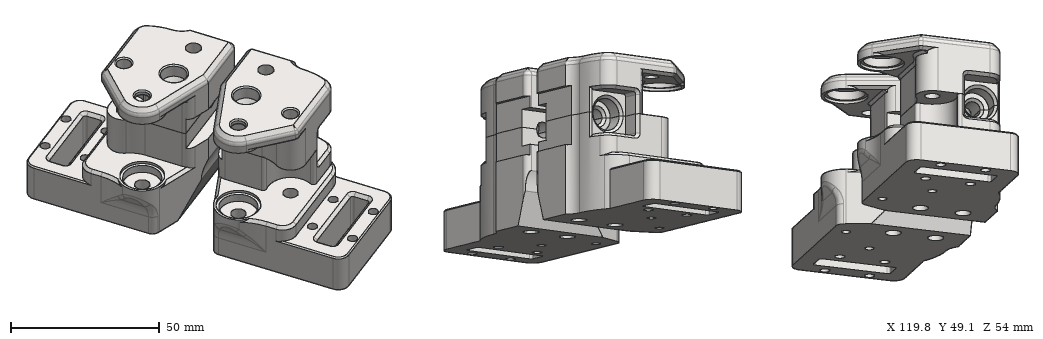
import cadquery as cq
import math


PLATE_TOP = 13.8
BLOCK_TOP = 19.5
SPLIT_Z = 33.9
CAP_UNDERSIDE = 48.3
CAP_TOP = 54.0

PLATE_LEFT = -59.9
BLOCK_LEFT = -39.7
STEM_LEFT = -36.8
INNER_X = -2.3
BACK_Y = 24.5
PLATE_BACK = 18.6
FRONT_Y = -21.5
STEM_FRONT = -5.9
SLANT_TOP_Y = 2.5
SHOULDER_X = -19.6
CREST_X = -24.4
CREST_Y = 22.2
BACK_ARC_RADIUS = 24.0
SHOULDER_RADIUS = 6.0
PLATE_CORNER_RADIUS = 4.0
CORNER_RADIUS = 5.0
BLOCK_BACK_RADIUS = 8.0
INNER_CORNER_RADIUS = 2.0
STEM_CORNER_RADIUS = 4.0

NOSE_X = -18.0
NOSE_RADIUS = 8.4
NOSE_Y = NOSE_RADIUS - BACK_Y
NOSE_BLEND_RADIUS = 20.0
NOSE_MARGIN = 0.02
STEP_DEPTH = 0.8
COUNTERBORE_DEPTH = 3.3

BOSS_X = -31.1
BOSS_Y = -3.0
BOSS_RADIUS = BOSS_X - STEM_LEFT
BOSS_BLEND_RADIUS = 11.4
CLEARANCE_RADIUS = 8.4
CLEARANCE_EDGE_RADIUS = 1.2

SCREW_DIAMETER = 5.2
PILOT_DIAMETER = 3.0
PILOT_DEPTH = 4.0
SCREW_CHAMFER = 0.5

ROD_DIAMETER = 5.4
ROD_X = -13.5
REAR_ROD_Y = 14.4
FRONT_ROD_Y = -0.8
ROD_RECESS_DIAMETER = 9.0
ROD_RECESS_DEPTH = 4.8
ROD_RECESS_CHAMFER = 0.5

BOLT_HEAD_DIAMETER = 10.9
BOLT_HEAD_DEPTH = 6.0
BOLT_CHAMFER = 1.0
POCKET_FLOOR_X = -30.0
POCKET_FRONT_Y = 7.0
POCKET_HALF_HEIGHT = 7.5
POCKET_CORNER_RADIUS = 1.0
POCKET_FLOOR_CHAMFER = 0.6

INNER_NOTCH_X = -6.7
INNER_NOTCH_BOTTOM = 27.4
INNER_NOTCH_TOP = 40.0
BACK_NOTCH_Y = 23.1
BACK_NOTCH_HALF_HEIGHT = 10.1

SLOT_X = -50.0
SLOT_WIDTH = 6.8
SLOT_LENGTH = 27.5
SLOT_CORNER_RADIUS = 1.0
SLOT_CHAMFER = 1.2
PLATE_HOLE_DIAMETER = 3.4
PLATE_HOLE_PITCH_X = 15.0
PLATE_HOLE_PITCH_Y = 16.0

SCOOP_BOTTOM = 7.2
SCOOP_ANGLE = 26.0
SCOOP_BLEND = 2.5
FOOT_RADIUS = 3.0

RELIEF_BOTTOM_X = -7.2
RELIEF_KNEE_Z = 14.9
RELIEF_BLEND = 3.6

PLATE_CHAMFER = 0.5
EDGE_CHAMFER = 1.1
STEM_CHAMFER = 1.0
FLARE_TAPER = -45.0
STEM_OVERLAP = 0.4
CAP_CHAMFER = 2.0
CAP_EDGE_RADIUS = 2.0

EXCESS = 12.0


def near(x, y, z):
    return cq.selectors.NearestToPointSelector((x, y, z))


def box(x_range, y_range, z_range):
    """Box between the given limits."""
    size = [high - low for low, high in (x_range, y_range, z_range)]
    return cq.Workplane().box(*size, centered=False).translate((x_range[0], y_range[0], z_range[0]))


def cylinder(x, y, diameter, bottom, top):
    """Upright cylinder."""
    return cq.Workplane(origin=(x, y, bottom)).circle(diameter / 2).extrude(top - bottom)


def cone(x, y, bottom_diameter, bottom, top_diameter, top):
    """Upright frustum."""
    rise = top - bottom
    solid = cq.Solid.makeCone(bottom_diameter / 2, top_diameter / 2, rise, cq.Vector(x, y, bottom))
    return cq.Workplane(obj=solid)


def slant_direction():
    """Angle of the slanted face, which is tangent to the nose."""
    run = INNER_X - NOSE_X
    rise = SLANT_TOP_Y - NOSE_Y
    return math.atan2(rise, run) + math.asin(NOSE_RADIUS / math.hypot(run, rise))


SLANT = slant_direction()
SLANT_END = (NOSE_X + NOSE_RADIUS * math.sin(SLANT), NOSE_Y - NOSE_RADIUS * math.cos(SLANT))
NOSE_TIP = (NOSE_X, NOSE_Y - NOSE_RADIUS)


def slant_x(y):
    """X on the slanted face at the given Y."""
    return INNER_X - (SLANT_TOP_Y - y) / math.tan(SLANT)


def back_arc_y(x):
    """Y on the big back arc at the given X."""
    return CREST_Y - BACK_ARC_RADIUS + math.sqrt(BACK_ARC_RADIUS**2 - (x - CREST_X) ** 2)


def shoulder_y(x):
    """Y on the hollow that joins the big back arc to the straight back edge."""
    return CREST_Y + SHOULDER_RADIUS - math.sqrt(SHOULDER_RADIUS**2 - (x - CREST_X) ** 2)


def back_outline(z, left):
    """Open outline from the top of the slanted face round the back to the left side."""
    shoulder_mid = (SHOULDER_X + CREST_X) / 2
    arc_mid = (CREST_X + left) / 2
    return (
        cq.Workplane(origin=(0, 0, z))
        .moveTo(INNER_X, SLANT_TOP_Y)
        .lineTo(INNER_X, BACK_Y)
        .lineTo(SHOULDER_X, shoulder_y(SHOULDER_X))
        .threePointArc((shoulder_mid, shoulder_y(shoulder_mid)), (CREST_X, CREST_Y))
        .threePointArc((arc_mid, back_arc_y(arc_mid)), (left, back_arc_y(left)))
    )


def round_upright(body, x, y, z, radius):
    """Round the upright edge nearest to the given point."""
    return body.edges("|Z").edges(near(x, y, z)).fillet(radius)


def boss(bottom, top):
    """Screw boss with its concave blend into the front of the stem."""
    drop = STEM_FRONT - BOSS_BLEND_RADIUS - BOSS_Y
    reach = BOSS_RADIUS + BOSS_BLEND_RADIUS
    blend_x = BOSS_X + math.sqrt(reach**2 - drop**2)
    share = BOSS_RADIUS / reach
    tangent = (BOSS_X + (blend_x - BOSS_X) * share, BOSS_Y + drop * share)
    web = (
        cq.Workplane(origin=(0, 0, bottom))
        .moveTo(BOSS_X, BOSS_Y)
        .lineTo(*tangent)
        .radiusArc((blend_x, STEM_FRONT), BOSS_BLEND_RADIUS)
        .lineTo(blend_x, BOSS_Y)
        .close()
        .extrude(top - bottom)
    )
    return web.union(cylinder(BOSS_X, BOSS_Y, 2 * BOSS_RADIUS, bottom, top))


def stem(bottom, top, has_boss):
    """Upright stem, with either the screw boss or a hollow that clears the other part's boss."""
    middle = (bottom + top) / 2
    front_corner_x = slant_x(STEM_FRONT)
    left_end_y = BOSS_Y if has_boss else STEM_FRONT
    body = back_outline(bottom, STEM_LEFT).lineTo(STEM_LEFT, left_end_y)
    if has_boss:
        body = body.lineTo(BOSS_X, BOSS_Y).lineTo(BOSS_X, STEM_FRONT)
    body = body.lineTo(front_corner_x, STEM_FRONT).close().extrude(top - bottom)
    body = round_upright(body, STEM_LEFT, back_arc_y(STEM_LEFT), middle, CORNER_RADIUS)
    body = round_upright(body, INNER_X, BACK_Y, middle, INNER_CORNER_RADIUS)
    body = round_upright(body, front_corner_x, STEM_FRONT, middle, STEM_CORNER_RADIUS)
    if has_boss:
        body = body.union(boss(bottom, top))
    else:
        body = body.cut(cylinder(BOSS_X, BOSS_Y, 2 * CLEARANCE_RADIUS, bottom, top))
        side_y = BOSS_Y + math.sqrt(CLEARANCE_RADIUS**2 - (STEM_LEFT - BOSS_X) ** 2)
        front_x = BOSS_X + math.sqrt(CLEARANCE_RADIUS**2 - (STEM_FRONT - BOSS_Y) ** 2)
        body = round_upright(body, STEM_LEFT, side_y, middle, CLEARANCE_EDGE_RADIUS)
        body = round_upright(body, front_x, STEM_FRONT, middle, CLEARANCE_EDGE_RADIUS)
    return cut_pocket(body, 1 if middle > SPLIT_Z else -1)


def cut_pocket(body, side):
    """Cut one half of the side pocket, above (+1) or below (-1) the joint, and break its edges."""
    pocket = box(
        (STEM_LEFT - EXCESS, POCKET_FLOOR_X),
        (POCKET_FRONT_Y, BACK_Y + EXCESS),
        (SPLIT_Z - POCKET_HALF_HEIGHT, SPLIT_Z + POCKET_HALF_HEIGHT),
    )
    pocket = pocket.edges("|X and <Y").fillet(POCKET_CORNER_RADIUS)
    body = body.cut(pocket)
    rim = near(STEM_LEFT, (POCKET_FRONT_Y + REAR_ROD_Y) / 2, SPLIT_Z + side * POCKET_HALF_HEIGHT)
    body = body.edges(rim).chamfer(EDGE_CHAMFER)
    floor_edge = near(POCKET_FLOOR_X, back_arc_y(POCKET_FLOOR_X), SPLIT_Z + side * POCKET_HALF_HEIGHT / 2)
    return body.edges("|Z").edges(floor_edge).chamfer(POCKET_FLOOR_CHAMFER)


def cross_bolt():
    """Bolt hole along X with its chamfered head recess, opening into the side pocket."""
    radius = ROD_DIAMETER / 2
    head_radius = BOLT_HEAD_DIAMETER / 2
    head_floor = POCKET_FLOOR_X + BOLT_HEAD_DEPTH
    profile = [
        (POCKET_FLOOR_X, 0),
        (POCKET_FLOOR_X, head_radius + BOLT_CHAMFER),
        (POCKET_FLOOR_X + BOLT_CHAMFER, head_radius),
        (head_floor, head_radius),
        (head_floor, radius + BOLT_CHAMFER),
        (head_floor + BOLT_CHAMFER, radius),
        (INNER_X + EXCESS, radius),
        (INNER_X + EXCESS, 0),
    ]
    tool = cq.Workplane().polyline(profile).close().revolve(360, (0, 0, 0), (1, 0, 0))
    return tool.translate((0, REAR_ROD_Y, SPLIT_Z))


def joint_cuts():
    """Notches, rod holes and cross bolt, which pass through base and cap alike."""
    inner_notch = box(
        (INNER_NOTCH_X, INNER_X + EXCESS),
        (-BACK_Y, BACK_Y + EXCESS),
        (INNER_NOTCH_BOTTOM, INNER_NOTCH_TOP),
    )
    back_notch = box(
        (STEM_LEFT, INNER_X + EXCESS),
        (BACK_NOTCH_Y, BACK_Y + EXCESS),
        (SPLIT_Z - BACK_NOTCH_HALF_HEIGHT, SPLIT_Z + BACK_NOTCH_HALF_HEIGHT),
    )
    cuts = inner_notch.union(back_notch).union(cross_bolt())
    for y in (REAR_ROD_Y, FRONT_ROD_Y):
        cuts = cuts.union(cylinder(ROD_X, y, ROD_DIAMETER, -EXCESS, CAP_TOP + EXCESS))
    return cuts


def nose_counterbore(face_z, direction, step_diameter, bore_diameter):
    """Stepped counterbore in the nose, cut from face_z upwards (+1) or downwards (-1)."""
    tool = cq.Workplane(origin=(NOSE_X, NOSE_Y, face_z))
    step = tool.circle(step_diameter / 2).extrude(direction * STEP_DEPTH)
    bore = tool.circle(bore_diameter / 2).extrude(direction * COUNTERBORE_DEPTH)
    return step.union(bore)


def edge_trim(body, face):
    """Material that a chamfer around the chosen face removes, all but the part at the nose."""
    trim = body.cut(body.faces(face).edges().chamfer(EDGE_CHAMFER))
    return trim.cut(cylinder(NOSE_X, NOSE_Y, 2 * (NOSE_RADIUS + NOSE_MARGIN), 0, CAP_TOP))


def block():
    """Raised block with the nose in front, its top edge chamfered except on the nose."""
    drop = FRONT_Y - NOSE_BLEND_RADIUS - NOSE_Y
    reach = NOSE_RADIUS + NOSE_BLEND_RADIUS
    blend_x = NOSE_X - math.sqrt(reach**2 - drop**2)
    share = NOSE_RADIUS / reach
    tangent = (NOSE_X + (blend_x - NOSE_X) * share, NOSE_Y + drop * share)
    body = (
        back_outline(0, BLOCK_LEFT)
        .lineTo(BLOCK_LEFT, FRONT_Y)
        .lineTo(blend_x, FRONT_Y)
        .radiusArc(tangent, NOSE_BLEND_RADIUS)
        .threePointArc(NOSE_TIP, SLANT_END)
        .close()
        .extrude(BLOCK_TOP)
    )
    middle = BLOCK_TOP / 2
    body = round_upright(body, BLOCK_LEFT, FRONT_Y, middle, CORNER_RADIUS)
    body = round_upright(body, BLOCK_LEFT, back_arc_y(BLOCK_LEFT), middle, BLOCK_BACK_RADIUS)
    body = round_upright(body, INNER_X, BACK_Y, middle, INNER_CORNER_RADIUS)
    body = body.cut(edge_trim(body, ">Z"))
    return undercut_nose(body, blend_x)


def scoop(left):
    """Tool that undercuts the nose with a slope and a concave blend."""
    lean = math.radians(SCOOP_ANGLE)
    apex_z = SCOOP_BOTTOM + SCOOP_BLEND
    blend_top = (FRONT_Y - SCOOP_BLEND * math.sin(lean), apex_z + SCOOP_BLEND * math.cos(lean))
    blend_radius = SCOOP_BLEND / math.tan(lean / 2)
    slope_end = (FRONT_Y - EXCESS, apex_z + EXCESS / math.tan(lean))
    return (
        cq.Workplane("YZ", origin=(left, 0, 0))
        .moveTo(FRONT_Y, -EXCESS)
        .lineTo(FRONT_Y, SCOOP_BOTTOM)
        .radiusArc(blend_top, -blend_radius)
        .lineTo(*slope_end)
        .lineTo(FRONT_Y - EXCESS, -EXCESS)
        .close()
        .extrude(-left)
    )


def undercut_nose(body, left):
    """Cut the scoop, then round the foot below it together with the arched edge around it."""
    body = body.cut(scoop(left))
    foot_x = NOSE_X + math.sqrt(NOSE_RADIUS**2 - (FRONT_Y - NOSE_Y) ** 2)
    return round_upright(body, foot_x, FRONT_Y, SCOOP_BOTTOM / 2, FOOT_RADIUS)


def plate():
    """Mounting plate with rounded outer corners and a chamfered top edge."""
    body = box((PLATE_LEFT, BOSS_X), (FRONT_Y, PLATE_BACK), (0, PLATE_TOP))
    body = body.edges("|Z and <X").fillet(PLATE_CORNER_RADIUS)
    outer_edges = body.faces(">Z").edges("not(>X)")
    return outer_edges.chamfer(PLATE_CHAMFER)


def plate_cuts():
    """Slot with a chamfered rim and the four holes around it."""
    centre_y = (FRONT_Y + PLATE_BACK) / 2
    slot = box(
        (SLOT_X - SLOT_WIDTH / 2, SLOT_X + SLOT_WIDTH / 2),
        (centre_y - SLOT_LENGTH / 2, centre_y + SLOT_LENGTH / 2),
        (0, PLATE_TOP),
    )
    slot = slot.edges("|Z").fillet(SLOT_CORNER_RADIUS)
    rim = (
        cq.Workplane(origin=(SLOT_X, centre_y, PLATE_TOP))
        .rect(SLOT_WIDTH + 2 * SLOT_CHAMFER, SLOT_LENGTH + 2 * SLOT_CHAMFER)
        .extrude(-SLOT_CHAMFER)
        .edges("|Z")
        .fillet(SLOT_CORNER_RADIUS + SLOT_CHAMFER)
        .faces("<Z")
        .chamfer(SLOT_CHAMFER * 0.999)
    )
    holes = (
        cq.Workplane(origin=(SLOT_X, centre_y, 0))
        .rarray(PLATE_HOLE_PITCH_X, PLATE_HOLE_PITCH_Y, 2, 2)
        .circle(PLATE_HOLE_DIAMETER / 2)
        .extrude(PLATE_TOP)
    )
    return slot.union(rim).union(holes)


def inner_relief():
    """Tool that slopes back the lower part of the inner face, with a blend at the knee."""
    lean = math.atan2(INNER_X - RELIEF_BOTTOM_X, RELIEF_KNEE_Z)
    blend_start = (INNER_X - RELIEF_BLEND * math.sin(lean), RELIEF_KNEE_Z - RELIEF_BLEND * math.cos(lean))
    blend_end = (INNER_X, RELIEF_KNEE_Z + RELIEF_BLEND)
    return (
        cq.Workplane("XZ", origin=(0, BACK_Y + EXCESS, 0))
        .moveTo(RELIEF_BOTTOM_X, 0)
        .lineTo(*blend_start)
        .radiusArc(blend_end, RELIEF_BLEND / math.tan(lean / 2))
        .lineTo(INNER_X + EXCESS, RELIEF_KNEE_Z + RELIEF_BLEND)
        .lineTo(INNER_X + EXCESS, 0)
        .close()
        .extrude(2 * (BACK_Y + EXCESS))
    )


def base(has_boss):
    body = block().union(plate()).union(stem(BLOCK_TOP - 2 * EDGE_CHAMFER, SPLIT_Z, has_boss))
    body = body.cut(plate_cuts()).cut(inner_relief()).cut(joint_cuts())
    body = body.cut(nose_counterbore(BLOCK_TOP, -1.2, 15.1, 13.2))
    for x, y in ((NOSE_X, NOSE_Y), (BOSS_X, BOSS_Y)):
        body = body.cut(cylinder(x, y, PILOT_DIAMETER, 0, SPLIT_Z))
        body = body.cut(cylinder(x, y, SCREW_DIAMETER, PILOT_DEPTH, SPLIT_Z))
    return body


def cap_plate():
    """Overhanging plate with a chamfered and rounded top edge and a chamfered lower edge."""
    flank = NOSE_RADIUS * math.sqrt(0.5)
    flank_end = (NOSE_X - flank, NOSE_Y - flank)
    flank_start_y = flank_end[1] - (STEM_LEFT - flank_end[0])
    body = (
        back_outline(CAP_UNDERSIDE, STEM_LEFT)
        .lineTo(STEM_LEFT, flank_start_y)
        .lineTo(*flank_end)
        .threePointArc(NOSE_TIP, SLANT_END)
        .close()
        .extrude(CAP_TOP - CAP_UNDERSIDE)
    )
    body = round_upright(body, STEM_LEFT, back_arc_y(STEM_LEFT), CAP_TOP, CORNER_RADIUS)
    body = round_upright(body, STEM_LEFT, flank_start_y, CAP_TOP, INNER_CORNER_RADIUS)
    body = round_upright(body, INNER_X, BACK_Y, CAP_TOP, INNER_CORNER_RADIUS)
    body = body.cut(edge_trim(body, "<Z"))
    body = body.faces(">Z").edges().chamfer(CAP_CHAMFER)
    shoulder_edges = cq.selectors.BoxSelector(
        (PLATE_LEFT, -2 * BACK_Y, CAP_TOP - CAP_CHAMFER - 0.1),
        (0, 2 * BACK_Y, CAP_TOP - CAP_CHAMFER + 0.1),
    )
    return body.edges(shoulder_edges).fillet(CAP_EDGE_RADIUS)


def collar(post, overhang):
    """45 degree flare that fills the corner between the stem and the underside of the plate."""
    down = cq.Vector(0, 0, -STEM_CHAMFER)
    underside = overhang.faces("<Z").val()
    limit = cq.Solid.extrudeLinear(underside, down)
    section = post.faces(">Z").val().outerWire()
    foot_z = CAP_UNDERSIDE - STEM_CHAMFER
    foot = section.translate(cq.Vector(0, 0, foot_z - section.Center().z))
    flare = cq.Solid.extrudeLinear(foot, [], cq.Vector(0, 0, STEM_CHAMFER), FLARE_TAPER)
    return cq.Workplane(obj=flare.intersect(limit))


def screw_hole(x, y):
    """Clearance hole through the cap with a chamfered mouth."""
    hole = cylinder(x, y, SCREW_DIAMETER, SPLIT_Z, CAP_TOP)
    mouth = SCREW_DIAMETER + 2 * SCREW_CHAMFER
    return hole.union(cone(x, y, SCREW_DIAMETER, CAP_TOP - SCREW_CHAMFER, mouth, CAP_TOP))


def rod_recess():
    """Recess above the front rod, with a conical floor and a chamfered mouth."""
    floor = CAP_TOP - ROD_RECESS_DEPTH
    cone_depth = (ROD_RECESS_DIAMETER - ROD_DIAMETER) / 2
    mouth = ROD_RECESS_DIAMETER + 2 * ROD_RECESS_CHAMFER
    chamfer_bottom = CAP_TOP - ROD_RECESS_CHAMFER
    recess = cylinder(ROD_X, FRONT_ROD_Y, ROD_RECESS_DIAMETER, floor, CAP_TOP)
    floor_cone = cone(ROD_X, FRONT_ROD_Y, ROD_DIAMETER, floor - cone_depth, ROD_RECESS_DIAMETER, floor)
    rim = cone(ROD_X, FRONT_ROD_Y, ROD_RECESS_DIAMETER, chamfer_bottom, mouth, CAP_TOP)
    return recess.union(floor_cone).union(rim)


def cap(has_boss):
    overhang = cap_plate()
    post = stem(SPLIT_Z, CAP_UNDERSIDE + EDGE_CHAMFER + STEM_OVERLAP, has_boss)
    body = overhang.union(post).union(collar(post, overhang))
    body = body.cut(joint_cuts()).cut(rod_recess())
    body = body.cut(nose_counterbore(CAP_UNDERSIDE, 1.2, 14.9, 12.8))
    body = body.cut(screw_hole(NOSE_X, NOSE_Y)).cut(screw_hole(BOSS_X, BOSS_Y))
    return body


left_base = base(has_boss=True)
left_cap = cap(has_boss=False)
right_base = base(has_boss=False).mirror("YZ")
right_cap = cap(has_boss=True).mirror("YZ")

result = cq.Compound.makeCompound([left_base.val(), left_cap.val(), right_base.val(), right_cap.val()])